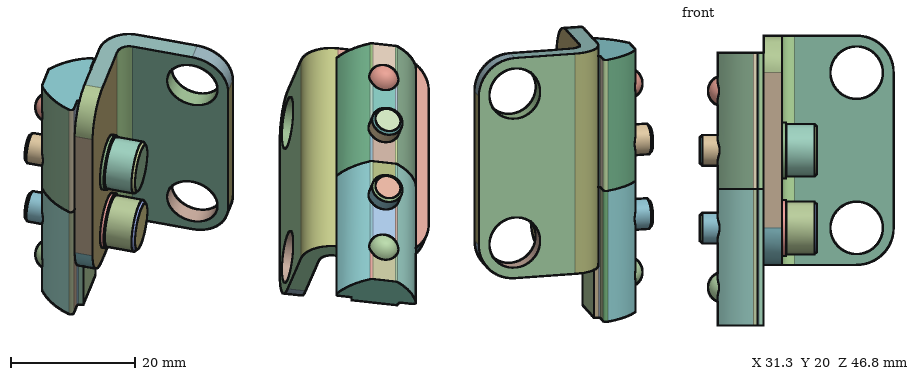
import cadquery as cq
import math


total_height = 46.75
bracket_height = 37.0
bracket_thickness = 3.0
bracket_reach = 21.0
bracket_width = 20.0
screw_to_edge = 9.0
bend_inner_radius = 2.0
corner_radius = 6.0
mount_hole_diameter = 8.4

nut_pair_length = 44.0
nut_depth = 7.4
lip_gap = 0.95
neck_half_width = 3.75
neck_root_half_width = 3.97
flank_radius = 12.0
flank_center_x = 2.5
flank_center_y = 4.75
lip_fillet = 0.5
nose_fillet = 0.7
neck_fillet = 0.3
ball_diameter = 5.0
ball_height = 1.6
ball_from_end = 6.15

screw_spacing = 12.55
shank_diameter = 5.0
tip_diameter = 4.1
shank_length = 14.02
head_diameter = 8.5
head_height = 4.9
head_chamfer = 0.45
clearance_diameter = 5.3
washer_diameter = 9.0
washer_thickness = 0.6
washer_height = 0.75

nut_length = nut_pair_length / 2
bracket_bottom = total_height - bracket_height
bracket_back = bracket_width - screw_to_edge
bend_outer_radius = bend_inner_radius + bracket_thickness
mount_hole_heights = [bracket_bottom + corner_radius, total_height - corner_radius]
screw_heights = [nut_length - screw_spacing / 2, nut_length + screw_spacing / 2]
ball_heights = [ball_from_end, nut_pair_length - ball_from_end]
nut_bottoms = [0.0, nut_length]
head_seat = bracket_thickness + washer_height


def cylinder_along_x(x_start, length, diameter, z):
    return (
        cq.Workplane("YZ", origin=(x_start, 0, z))
        .circle(diameter / 2)
        .extrude(length)
    )


def make_bracket():
    body = (
        cq.Workplane("XY", origin=(0, 0, bracket_bottom))
        .moveTo(0, -screw_to_edge)
        .lineTo(0, bracket_back)
        .lineTo(bracket_reach, bracket_back)
        .lineTo(bracket_reach, bracket_back - bracket_thickness)
        .lineTo(bracket_thickness, bracket_back - bracket_thickness)
        .lineTo(bracket_thickness, -screw_to_edge)
        .close()
        .extrude(bracket_height)
    )
    outer_bend = cq.selectors.NearestToPointSelector((0, bracket_back, total_height / 2))
    inner_bend = cq.selectors.NearestToPointSelector(
        (bracket_thickness, bracket_back - bracket_thickness, total_height / 2)
    )
    body = body.edges("|Z").edges(outer_bend).fillet(bend_outer_radius)
    body = body.edges("|Z").edges(inner_bend).fillet(bend_inner_radius)

    body = body.faces(">X").edges("|Y").fillet(corner_radius)
    body = body.faces("<Y").edges("|X").fillet(corner_radius)

    mount_hole_x = bracket_reach - corner_radius
    for z in mount_hole_heights:
        mount_hole = (
            cq.Workplane("XZ", origin=(mount_hole_x, bracket_back, z))
            .circle(mount_hole_diameter / 2)
            .extrude(bracket_thickness)
        )
        body = body.cut(mount_hole)
    for z in screw_heights:
        body = body.cut(cylinder_along_x(0, bracket_thickness, clearance_diameter, z))
    return body


def flank_half_width(x):
    """Half-width of the nut on its curved flank at the given X."""
    return math.sqrt(flank_radius**2 - (x - flank_center_x) ** 2) - flank_center_y


def make_nut(bottom, screw_z, ball_z):
    lip_x = -lip_gap
    nose_x = -nut_depth
    middle_x = (lip_x + nose_x) / 2
    lip_half = flank_half_width(lip_x)
    middle_half = flank_half_width(middle_x)
    nose_half = flank_half_width(nose_x)

    body = (
        cq.Workplane("XY", origin=(0, 0, bottom))
        .moveTo(0, -neck_half_width)
        .lineTo(lip_x, -neck_root_half_width)
        .lineTo(lip_x, -lip_half)
        .threePointArc((middle_x, -middle_half), (nose_x, -nose_half))
        .lineTo(nose_x, nose_half)
        .threePointArc((middle_x, middle_half), (lip_x, lip_half))
        .lineTo(lip_x, neck_root_half_width)
        .lineTo(0, neck_half_width)
        .close()
        .extrude(nut_length)
    )
    for side in (-1, 1):
        rounded_edges = [
            (lip_x, lip_half, lip_fillet),
            (nose_x, nose_half, nose_fillet),
            (lip_x, neck_root_half_width, neck_fillet),
        ]
        for x, half_width, radius in rounded_edges:
            point = (x, side * half_width, bottom + nut_length / 2)
            edge = cq.selectors.NearestToPointSelector(point)
            body = body.edges("|Z").edges(edge).fillet(radius)

    ball_radius = ball_diameter / 2
    ball_x = nose_x - ball_height + ball_radius
    ball = (
        cq.Workplane("XY", origin=(ball_x, 0, ball_z))
        .moveTo(-ball_radius, 0)
        .threePointArc((0, ball_radius), (ball_radius, 0))
        .close()
        .revolve(360, (0, 0, 0), (1, 0, 0))
    )
    body = body.union(ball)

    return body.cut(cylinder_along_x(nose_x, nut_depth, shank_diameter, screw_z))


def make_screw(z):
    tip_chamfer = (shank_diameter - tip_diameter) / 2
    tip_x = head_seat - shank_length
    head = cylinder_along_x(head_seat, head_height, head_diameter, z)
    head = head.faces(">X").chamfer(head_chamfer)
    shank = cylinder_along_x(tip_x, shank_length, shank_diameter, z)
    shank = shank.faces("<X").chamfer(tip_chamfer)
    return head.union(shank)


def make_washer(z):
    """Dished ring: its rim rests on the bracket and its bore edge on the screw head."""
    inner = clearance_diameter / 2
    outer = washer_diameter / 2
    dish = washer_height - washer_thickness
    return (
        cq.Workplane("XY", origin=(bracket_thickness, 0, z))
        .moveTo(0, outer)
        .lineTo(washer_thickness, outer)
        .lineTo(washer_height, inner)
        .lineTo(dish, inner)
        .close()
        .revolve(360, (0, 0, 0), (1, 0, 0))
    )


bracket = make_bracket()
nuts = [make_nut(*places) for places in zip(nut_bottoms, screw_heights, ball_heights)]
screws = [make_screw(z) for z in screw_heights]
washers = [make_washer(z) for z in screw_heights]

bodies = [bracket, *nuts, *screws, *washers]
result = cq.Compound.makeCompound([body.solids().val() for body in bodies])